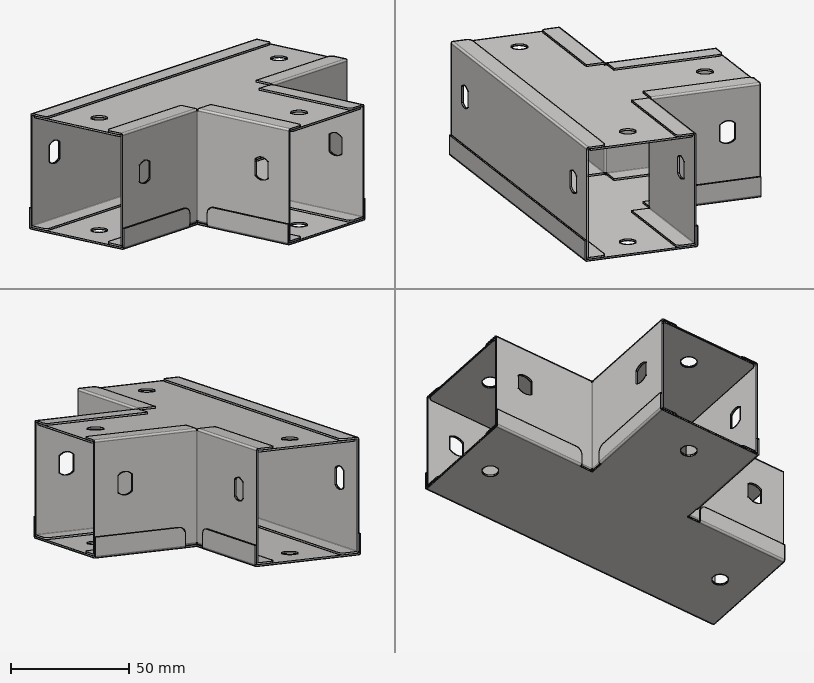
import cadquery as cq

run_length = 150.0
duct_size = run_length / 3
branch_length = duct_size
sheet = 0.8
bend_inner = 0.1
bend_outer = bend_inner + sheet

flange_width = 8.8
flange_round = 2.1
lip_height = 8.4
lip_round = 3.0
lip_setback = 6.0

hole_diameter = 7.0
hole_end_distance = 15.0
slot_width = hole_diameter
slot_height = 10.0
slot_level = 30.0

run_half = run_length / 2
duct_half = duct_size / 2
branch_end = duct_size + branch_length
leg_length = run_half - duct_half - bend_inner
lip_length = run_half - duct_half - lip_setback


def box(x0, x1, y0, y1, z0, z1):
    return cq.Workplane("XY").box(x1 - x0, y1 - y0, z1 - z0, centered=False).translate((x0, y0, z0))


def tee_plate(inset, z_bottom):
    """Flat tee of one sheet thickness, inset from the outer wall faces."""
    half_width = duct_half - inset
    return (
        cq.Workplane("XY", origin=(0, 0, z_bottom))
        .moveTo(inset, -run_half)
        .lineTo(duct_size - inset, -run_half)
        .lineTo(duct_size - inset, -half_width)
        .lineTo(branch_end, -half_width)
        .lineTo(branch_end, half_width)
        .lineTo(duct_size - inset, half_width)
        .lineTo(duct_size - inset, run_half)
        .lineTo(inset, run_half)
        .close()
        .extrude(sheet)
    )


def drill_screw_holes(plate):
    """One round hole near each of the three open ends."""
    run_hole_y = run_half - hole_end_distance
    centres = [
        (duct_half, -run_hole_y),
        (duct_half, run_hole_y),
        (branch_end - hole_end_distance, 0),
    ]
    drills = (
        cq.Workplane("XY", origin=(0, 0, -duct_size))
        .pushPoints(centres)
        .circle(hole_diameter / 2)
        .extrude(3 * duct_size)
    )
    return plate.cut(drills)


def slot_cutter(y):
    """Round bar with two flat sides, running through a wall along X."""
    bar = cq.Workplane("YZ", origin=(-sheet, y, slot_level)).circle(slot_height / 2).extrude(3 * sheet)
    flats = box(-sheet, 2 * sheet, y - slot_width / 2, y + slot_width / 2, 0, duct_size)
    return bar.intersect(flats)


def flanged_wall(length, slot_places, rounded_ends):
    """C-shaped wall: outer face on x = 0, flanges toward +X, running from y = 0 to y = length."""
    outer = box(0, 2 * flange_width, 0, length, 0, duct_size).edges("|Y and <X").fillet(bend_outer)
    inner = (
        box(sheet, 3 * flange_width, 0, length, sheet, duct_size - sheet)
        .edges("|Y and <X")
        .fillet(bend_inner)
    )
    flange_limit = box(0, flange_width, 0, length, 0, duct_size)
    flange_limit = flange_limit.edges(rounded_ends).fillet(flange_round)
    wall = outer.cut(inner).intersect(flange_limit)
    for y in slot_places:
        wall = wall.cut(slot_cutter(y))
    return wall


def base_lip(length):
    """Upturned lip with its bend: inner face on x = 0, running from y = 0 to y = length."""
    return (
        cq.Workplane("XZ")
        .moveTo(bend_inner, -sheet)
        .radiusArc((-sheet, bend_inner), bend_outer)
        .lineTo(-sheet, lip_height)
        .lineTo(0, lip_height)
        .lineTo(0, bend_inner)
        .radiusArc((bend_inner, 0), -bend_inner)
        .close()
        .extrude(-length)
    )


def around_inside_corner(strip, setback):
    """Place a strip on the +Y run wall line and on the +Y branch wall line, off the inside corner."""
    along_run = strip.mirror("YZ").translate((duct_size, duct_half + setback, 0))
    along_branch = strip.rotate((0, 0, 0), (0, 0, 1), -90).translate((duct_size + setback, duct_half, 0))
    return along_run, along_branch


def make_base():
    """Bottom tee with lips that hug the outside of the walls."""
    base = tee_plate(bend_inner, -sheet)
    base = base.union(base_lip(run_length).translate((0, -run_half, 0)))
    short_lip = base_lip(lip_length).edges("|X and <Y and >Z").fillet(lip_round)
    for lip in around_inside_corner(short_lip, lip_setback):
        base = base.union(lip).union(lip.mirror("XZ"))
    return drill_screw_holes(base)


def make_cover():
    """Flat top tee held under the upper wall flanges."""
    cover = tee_plate(bend_outer, duct_size - 2 * sheet)
    cover = cover.edges("|Z and (<Y or >Y or >X)").fillet(flange_round)
    return drill_screw_holes(cover)


def make_back_wall():
    slots = (hole_end_distance, run_length - hole_end_distance)
    wall = flanged_wall(run_length, slots, "|Z and >X")
    return wall.translate((0, -run_half, 0))


def make_corner_wall(side):
    """Wall bent around one inside corner; side is +1 for +Y and -1 for -Y."""
    leg = flanged_wall(leg_length, [leg_length - hole_end_distance], "|Z and >X and >Y")
    along_run, along_branch = around_inside_corner(leg, bend_inner)
    bend_x = duct_size + bend_inner
    bend_y = duct_half + bend_inner
    ring = (
        cq.Workplane("XY", origin=(bend_x, bend_y, bend_outer))
        .circle(bend_outer)
        .circle(bend_inner)
        .extrude(duct_size - 2 * bend_outer)
    )
    quarter = box(bend_x - bend_outer, bend_x, bend_y - bend_outer, bend_y, 0, duct_size)
    corner = along_run.union(along_branch).union(ring.intersect(quarter))
    return corner if side > 0 else corner.mirror("XZ")


base = make_base()
cover = make_cover()
back_wall = make_back_wall()
corner_walls = [make_corner_wall(side) for side in (1, -1)]

result = cq.Compound.makeCompound(
    [body.solids().val() for body in (base, cover, back_wall, *corner_walls)]
)